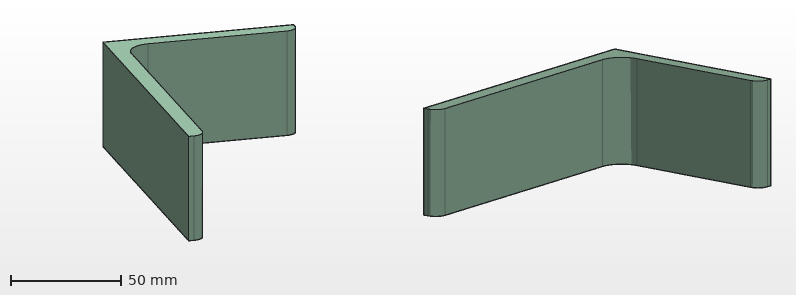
import cadquery as cq

long_leg = 140.0
short_leg = 90.0
height = 50.0
thickness = 8.0
root_radius = 11.0
toe_radius = 5.5


def leg_corner(x, y):
    """Select the vertical edge standing at (x, y)."""
    return cq.selectors.NearestToPointSelector((x, y, height / 2))


angle = (
    cq.Workplane("XY")
    .polyline([
        (0, 0),
        (long_leg, 0),
        (long_leg, thickness),
        (thickness, thickness),
        (thickness, short_leg),
        (0, short_leg),
    ])
    .close()
    .extrude(height)
)

angle = angle.edges("|Z").edges(leg_corner(thickness, thickness)).fillet(root_radius)

for tip in [(long_leg, thickness), (thickness, short_leg)]:
    angle = angle.edges("|Z").edges(leg_corner(*tip)).fillet(toe_radius)

result = angle